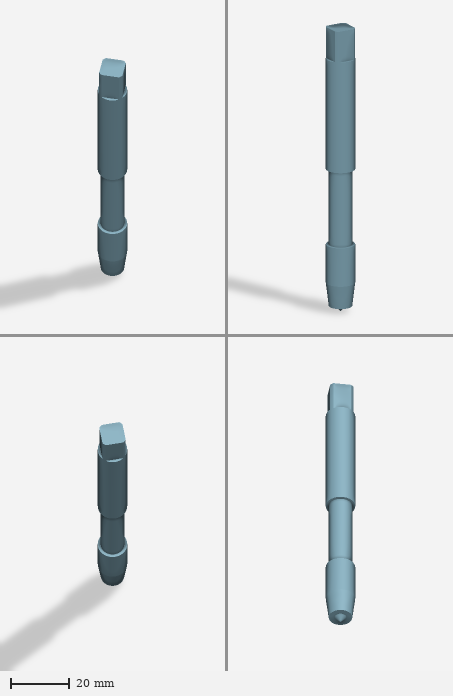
import cadquery as cq

total_length = 102.1
shank_diameter = 10.1
neck_diameter = 8.1
thread_diameter = 10.1
chamfer_end_diameter = 8.1
point_diameter = 4.1

point_height = 2
taper_top = 10.4
thread_top = 24.2
neck_top = 51.3
square_height = 11.0

square_across_flats = 8.1
square_rotation = 45


def make_body():
    """Revolve the stepped shank, neck, thread section and point."""
    profile = [
        (0, 0),
        (point_diameter / 2, point_height),
        (chamfer_end_diameter / 2, point_height),
        (thread_diameter / 2, taper_top),
        (thread_diameter / 2, thread_top),
        (neck_diameter / 2, thread_top),
        (neck_diameter / 2, neck_top),
        (shank_diameter / 2, neck_top),
        (shank_diameter / 2, total_length),
        (0, total_length),
    ]
    return cq.Workplane("XZ").polyline(profile).close().revolve(360, (0, 0), (0, 1))


def make_square_cutter():
    """Ring that leaves the driving square at the top of the shank."""
    return (
        cq.Workplane("XY", origin=(0, 0, total_length - square_height))
        .transformed(rotate=(0, 0, square_rotation))
        .rect(2 * shank_diameter, 2 * shank_diameter)
        .rect(square_across_flats, square_across_flats)
        .extrude(square_height)
    )


result = make_body().cut(make_square_cutter())